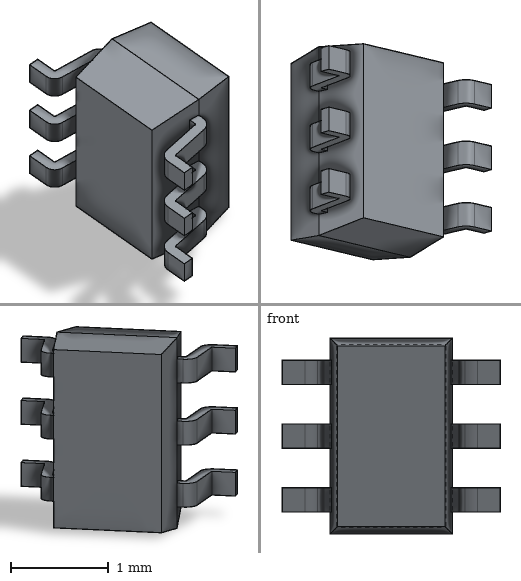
import cadquery as cq
import math

overall_width = 2.23
body_height = 2.0
body_width = 1.25

front_depth = 0.6
back_depth = 0.5
draft_angle = 7.4

lead_rows = 3
lead_pitch = 0.651
lead_width = 0.25
lead_thickness = 0.115
lead_standoff = 0.1
foot_length = 0.245
leg_angle = 7.0
inner_bend_radius = 0.01
outer_bend_radius = inner_bend_radius + lead_thickness


def body_half(depth):
    """Tapered block whose large face lies on Y = 0; negative depth runs toward +Y."""
    return (
        cq.Workplane("XZ")
        .rect(body_width, body_height)
        .extrude(depth, taper=draft_angle)
    )


def lead(center_z):
    """Lead on the -X side, centred at the given Z, ending flush on the drafted body face."""
    sole_y = -(front_depth + lead_standoff)
    foot_top_y = sole_y + lead_thickness
    shoulder_under_y = -lead_thickness
    tip_x = -overall_width / 2
    leg_slope = math.tan(math.radians(leg_angle))
    leg_thickness_x = lead_thickness / math.cos(math.radians(leg_angle))
    body_edge_x = -body_width / 2
    under_edge_x = body_edge_x + lead_thickness * math.tan(math.radians(draft_angle))

    def leg_outside_x(y):
        return tip_x + foot_length + (y - foot_top_y) * leg_slope

    def leg_inside_x(y):
        return leg_outside_x(y) + leg_thickness_x

    foot_inner_bend = (leg_outside_x(foot_top_y), foot_top_y)
    foot_outer_bend = (leg_inside_x(sole_y), sole_y)
    shoulder_outer_bend = (leg_outside_x(0), 0)
    shoulder_inner_bend = (leg_inside_x(shoulder_under_y), shoulder_under_y)

    strip = (
        cq.Workplane("XY")
        .workplane(offset=center_z - lead_width / 2)
        .moveTo(tip_x, sole_y)
        .lineTo(*foot_outer_bend)
        .lineTo(*shoulder_inner_bend)
        .lineTo(under_edge_x, shoulder_under_y)
        .lineTo(body_edge_x, 0)
        .lineTo(*shoulder_outer_bend)
        .lineTo(*foot_inner_bend)
        .lineTo(tip_x, foot_top_y)
        .close()
        .extrude(lead_width)
    )

    def bend_edges(*corners):
        """Edges along Z standing at the given XY corners of the strip."""
        points = [(x, y, center_z) for x, y in corners]
        selector = cq.selectors.NearestToPointSelector
        return strip.edges("|Z").edges(
            cq.selectors.SumSelector(*[selector(point) for point in points])
        )

    strip = bend_edges(foot_outer_bend, shoulder_outer_bend).fillet(outer_bend_radius)
    return bend_edges(foot_inner_bend, shoulder_inner_bend).fillet(inner_bend_radius)


front_half = body_half(front_depth)
back_half = body_half(-back_depth)

leads = []
lowest_row_z = -(lead_rows - 1) / 2 * lead_pitch
for row in range(lead_rows):
    left_lead = lead(lowest_row_z + row * lead_pitch)
    leads.append(left_lead.val())
    leads.append(left_lead.mirror("YZ").val())

result = cq.Compound.makeCompound([front_half.val(), back_half.val(), *leads])